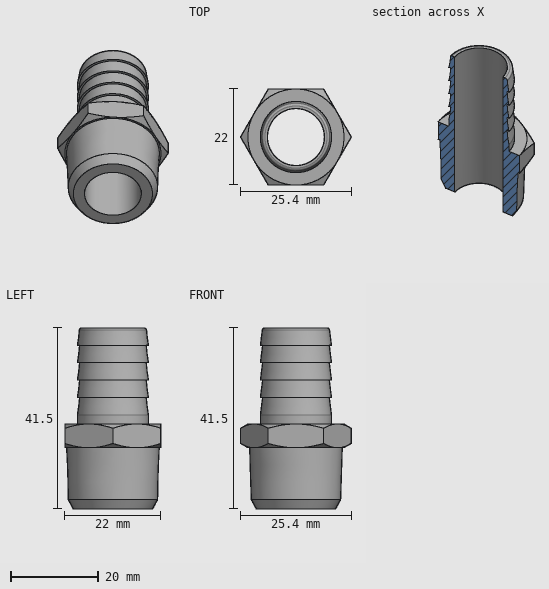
import cadquery as cq
import math

total_height = 41.5
bore_diameter = 13.0

spigot_top_diameter = 21.25
spigot_bottom_diameter = 20.5
spigot_tip_diameter = 18.1
spigot_tip_height = 2.25

hex_across_flats = 22.0
hex_bottom = 14.05
hex_height = 5.45
hex_chamfer_angle = 30.0

barb_count = 5
barb_pitch = 4.0
barb_large_diameter = 16.3
barb_small_diameter = 15.3
rim_fillet_radius = 0.62

hex_top = hex_bottom + hex_height
barbs_bottom = total_height - barb_count * barb_pitch
hex_across_corners = hex_across_flats / math.cos(math.radians(30))


def revolve_profile(points):
    """Turn a closed (radius, height) outline around the Z axis."""
    return cq.Workplane("XZ").polyline(points).close().revolve(360, (0, 0), (0, 1))


def make_spigot():
    return revolve_profile([
        (0, 0),
        (spigot_tip_diameter / 2, 0),
        (spigot_bottom_diameter / 2, spigot_tip_height),
        (spigot_top_diameter / 2, hex_bottom),
        (0, hex_bottom),
    ])


def make_hex_collar():
    """Hexagonal prism with its corners turned off at both ends."""
    prism = (
        cq.Workplane("XY").workplane(offset=hex_bottom)
        .polygon(6, hex_across_corners).extrude(hex_height)
    )
    flat_radius = hex_across_flats / 2
    corner_radius = hex_across_corners / 2
    chamfer_drop = (corner_radius - flat_radius) * math.tan(math.radians(hex_chamfer_angle))
    envelope = revolve_profile([
        (0, hex_bottom),
        (flat_radius, hex_bottom),
        (corner_radius, hex_bottom + chamfer_drop),
        (corner_radius, hex_top - chamfer_drop),
        (flat_radius, hex_top),
        (0, hex_top),
    ])
    return prism.intersect(envelope)


def make_hose_tail():
    """Plain neck, then barbs that each narrow upward; the top rim is rounded."""
    large_radius = barb_large_diameter / 2
    small_radius = barb_small_diameter / 2
    points = [(0, hex_top), (large_radius, hex_top)]
    for index in range(barb_count):
        base = barbs_bottom + index * barb_pitch
        points.append((large_radius, base))
        points.append((small_radius, base + barb_pitch))
    points.append((0, total_height))
    return revolve_profile(points).faces(">Z").edges().fillet(rim_fillet_radius)


bore = cq.Workplane("XY").circle(bore_diameter / 2).extrude(total_height)

result = make_spigot().union(make_hex_collar()).union(make_hose_tail()).cut(bore)